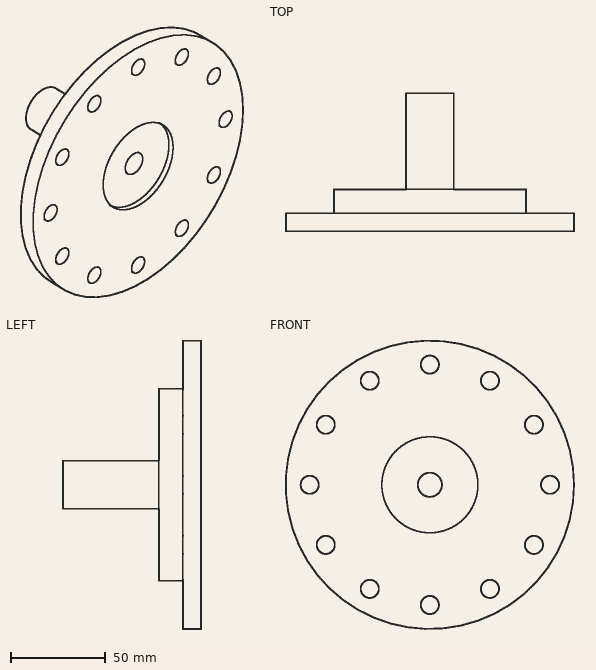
import cadquery as cq

flange_diameter = 152.4
flange_thickness = 9.6

hub_diameter = 101.7
hub_length = 12.6
shaft_diameter = 25.5
shaft_length = 50.7

recess_diameter = 50.7
recess_depth = 3.2
bore_diameter = 12.6

bolt_count = 12
bolt_hole_diameter = 9.5
bolt_circle_diameter = 127.0

hub_back = flange_thickness + hub_length
total_length = hub_back + shaft_length


def cylinder(diameter, start, length):
    """Solid cylinder on the Y axis, running from Y = start toward +Y."""
    return (
        cq.Workplane("XZ", origin=(0, start, 0))
        .circle(diameter / 2)
        .extrude(-length)
    )


def bolt_holes():
    """Cutters for the bolt holes, the first one on the +X axis."""
    return (
        cq.Workplane("XZ")
        .polarArray(bolt_circle_diameter / 2, 0, 360, bolt_count)
        .circle(bolt_hole_diameter / 2)
        .extrude(-flange_thickness)
    )


flange = cylinder(flange_diameter, 0, flange_thickness).cut(bolt_holes())
hub = cylinder(hub_diameter, flange_thickness, hub_length)
shaft = cylinder(shaft_diameter, hub_back, shaft_length)
recess = cylinder(recess_diameter, 0, recess_depth)
bore = cylinder(bore_diameter, 0, total_length)

result = flange.union(hub).union(shaft).cut(recess).cut(bore)